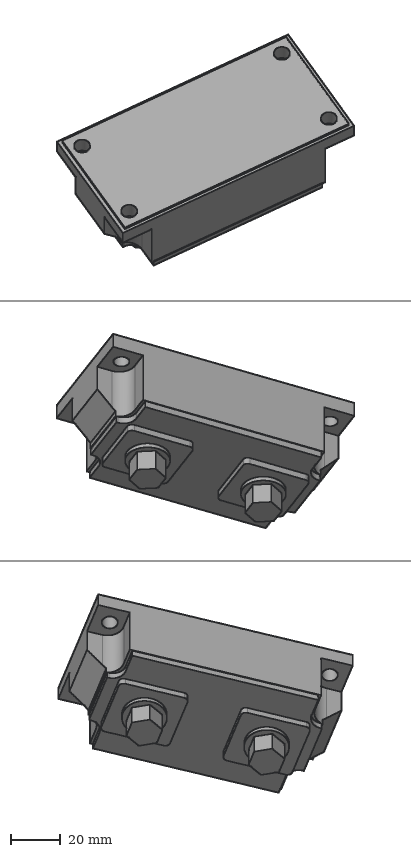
import cadquery as cq

width = 53.0
length = 107.5

lid_depth = 1.0
flange_depth = 7.5
slope_start_depth = 18.8
slope_end_depth = 27.4
body_depth = 30.0
base_depth = 33.0
pad_depth = 36.0
washer_depth = 38.0
nut_depth = 47.0

lid_width = 50.4
lid_length = 104.2

end_inset = 8.1
notch_width = 14.8
notch_length = 13.3
notch_radius = 6.9

base_side_inset = 0.3
base_end_inset = 8.4
base_notch_reach = 14.5
base_notch_radius = 5.5

hole_diameter = 6.5
hole_spacing_x = 37.8
hole_spacing_y = 92.9

terminal_spacing = 51.6
pad_width = 27.0
pad_length = 29.0
pad_radius = 2.0
washer_diameter = 18.2
nut_across_corners = 14.8


def block(size_x, size_y, top_depth, bottom_depth):
    """Centred box between two depths below the lid top."""
    return (
        cq.Workplane("XY", origin=(0, 0, -bottom_depth))
        .rect(size_x, size_y)
        .extrude(bottom_depth - top_depth)
    )


def corner_notches(reach_x, reach_y, radius, top_depth, bottom_depth):
    """Cutters for the four body corners, each with a rounded inner corner."""
    cutters = (
        cq.Workplane("XY", origin=(0, 0, -bottom_depth))
        .rect(width, length, forConstruction=True)
        .vertices()
        .rect(2 * reach_x, 2 * reach_y)
        .extrude(bottom_depth - top_depth)
    )
    return cutters.edges("|Z").fillet(radius)


def make_body():
    half_length = length / 2
    foot = half_length - end_inset
    profile = [
        (-half_length, -lid_depth),
        (half_length, -lid_depth),
        (half_length, -slope_start_depth),
        (foot, -slope_end_depth),
        (foot, -body_depth),
        (-foot, -body_depth),
        (-foot, -slope_end_depth),
        (-half_length, -slope_start_depth),
    ]
    body = cq.Workplane("YZ").polyline(profile).close().extrude(width / 2, both=True)
    return body.cut(corner_notches(notch_width, notch_length, notch_radius, flange_depth, body_depth))


def make_base():
    base = block(width - 2 * base_side_inset, length - 2 * base_end_inset, body_depth, base_depth)
    return base.cut(
        corner_notches(base_notch_reach, base_notch_reach, base_notch_radius, body_depth, base_depth)
    )


def make_terminal(center_y):
    pad = block(pad_width, pad_length, base_depth, pad_depth).edges("|Z").fillet(pad_radius)
    washer = (
        cq.Workplane("XY", origin=(0, 0, -washer_depth))
        .circle(washer_diameter / 2)
        .extrude(washer_depth - pad_depth)
    )
    nut = (
        cq.Workplane("XY", origin=(0, 0, -nut_depth))
        .polygon(6, nut_across_corners)
        .extrude(nut_depth - washer_depth)
    )
    return pad.union(washer).union(nut).translate((0, center_y, 0))


mounting_holes = (
    cq.Workplane("XY", origin=(0, 0, -flange_depth))
    .rect(hole_spacing_x, hole_spacing_y, forConstruction=True)
    .vertices()
    .circle(hole_diameter / 2)
    .extrude(flange_depth)
)

lid = block(lid_width, lid_length, 0, lid_depth)

result = make_body().union(make_base()).union(lid)
for side in (-1, 1):
    result = result.union(make_terminal(side * terminal_spacing / 2))
result = result.cut(mounting_holes)